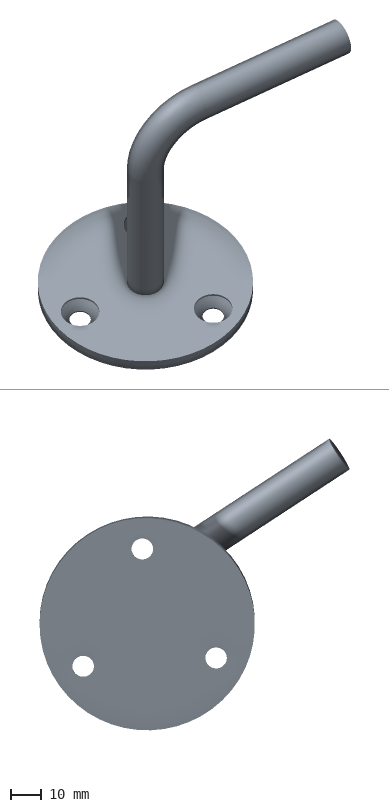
import cadquery as cq
import math

plate_diameter = 70.0
plate_thickness = 4.0

screw_count = 3
screw_circle_radius = 25.0
first_screw_angle = -90.0
screw_hole_diameter = 7.0
countersink_diameter = 12.5
countersink_angle = 90.0
countersink_lip_depth = 0.75

rod_diameter = 12.0
bend_radius = 20.0
straight_length = 55.0


def make_screw_cutter():
    """Through hole that opens upward into a cone, then a short straight recess."""
    hole_radius = screw_hole_diameter / 2
    countersink_radius = countersink_diameter / 2
    cone_top_z = plate_thickness - countersink_lip_depth
    half_angle = math.radians(countersink_angle / 2)
    cone_depth = (countersink_radius - hole_radius) / math.tan(half_angle)
    return (
        cq.Workplane("XZ")
        .lineTo(hole_radius, 0)
        .lineTo(hole_radius, cone_top_z - cone_depth)
        .lineTo(countersink_radius, cone_top_z)
        .lineTo(countersink_radius, plate_thickness)
        .lineTo(0, plate_thickness)
        .close()
        .revolve(360, (0, 0, 0), (0, 1, 0))
    )


def make_plate():
    """Disc with countersunk screw holes opening on its top face."""
    disc = cq.Workplane("XY").circle(plate_diameter / 2).extrude(plate_thickness)
    screw_cutter = make_screw_cutter().val()
    screw_holes = (
        cq.Workplane("XY")
        .polarArray(screw_circle_radius, first_screw_angle, 360, screw_count, rotate=False)
        .eachpoint(lambda place: screw_cutter.moved(place))
    )
    return disc.cut(screw_holes)


def make_rod():
    """Round rod with two equal straight legs joined by a 90 degree bend."""
    rod_radius = rod_diameter / 2
    bend_start_z = plate_thickness + straight_length
    rod_axis_z = bend_start_z + bend_radius

    upright = (
        cq.Workplane("XY")
        .workplane(offset=plate_thickness)
        .circle(rod_radius)
        .extrude(straight_length)
    )
    bend = (
        cq.Workplane("XY", origin=(0, 0, bend_start_z))
        .circle(rod_radius)
        .revolve(90, (0, bend_radius, 0), (-1, bend_radius, 0))
    )
    arm = (
        cq.Workplane("XZ", origin=(0, bend_radius, rod_axis_z))
        .circle(rod_radius)
        .extrude(-straight_length)
    )
    return upright.union(bend).union(arm)


result = make_plate().union(make_rod())